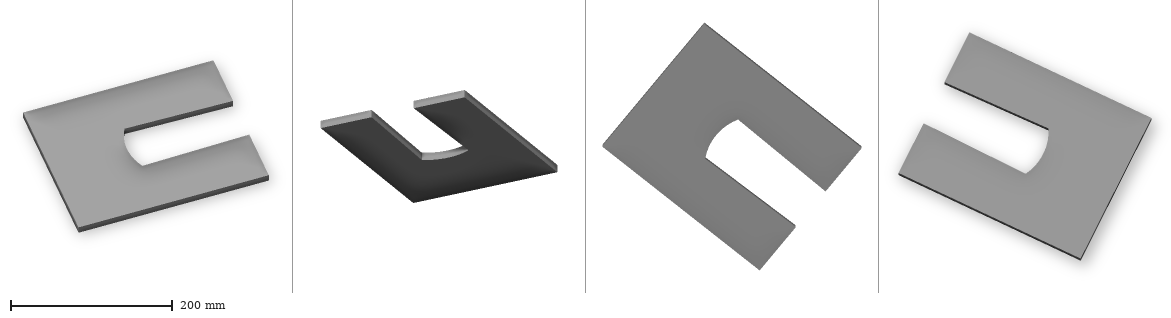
import cadquery as cq

width = 200.0
length = 250.0
thickness = 10.0

mouth_width = 58.5
floor_width = 64.5
slot_depth = 150.0
floor_sagitta = 8.5

mouth_y = length / 2
floor_y = mouth_y - slot_depth
corner_y = floor_y + floor_sagitta

result = (
    cq.Workplane("XY")
    .moveTo(-width / 2, -length / 2)
    .lineTo(width / 2, -length / 2)
    .lineTo(width / 2, mouth_y)
    .lineTo(mouth_width / 2, mouth_y)
    .lineTo(floor_width / 2, corner_y)
    .threePointArc((0, floor_y), (-floor_width / 2, corner_y))
    .lineTo(-mouth_width / 2, mouth_y)
    .lineTo(-width / 2, mouth_y)
    .close()
    .extrude(thickness)
)